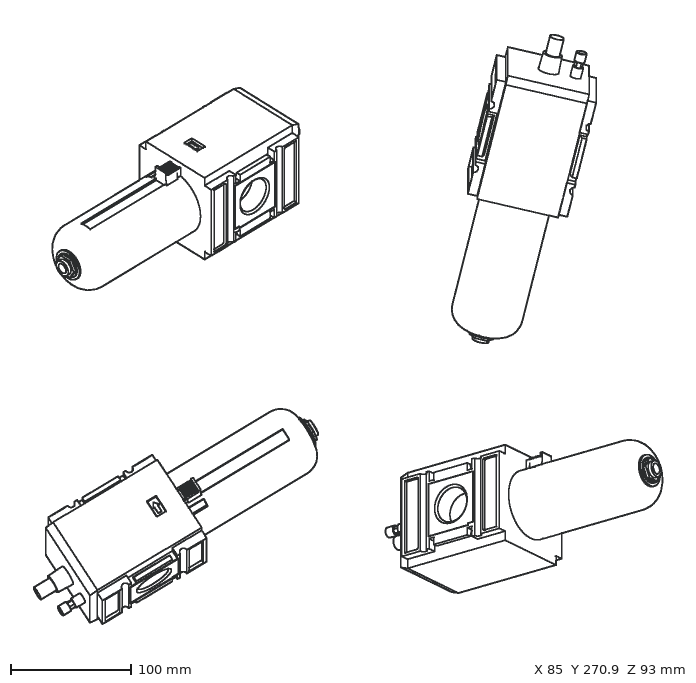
import cadquery as cq
import math


CORE_HALF_X = 34.7
CORE_HALF_Z = 42.8
CROWN_HALF_Z = 46.5
CROWN_SLOPE_LENGTH = 15.5
WING_HALF_X = 42.5
WING_HALF_Z = 34.7
HOUSING_LENGTH = 102.2
COVER_LENGTH = 7.3
COVER_END_HALF_Z = 40.0

PORT_Y = 51.2
PORT_DIAMETER = 30.4
PORT_CHAMFER = 2.0
PORT_DEPTH = 19.0
FACE_RECESS_SIZE = 47.0
FACE_RECESS_DEPTH = 0.5
FACE_STEP_LENGTH = 5.5
FACE_STEP_HEIGHT = 1.5
GROOVE_DIAMETER = 6.5
GROOVE_OFFSET = 28.5
PANEL_LENGTH = 14.0
PANEL_HALF_Z = 32.2
PANEL_DEPTH = 2.7
PANEL_OFFSET = 41.0
PANEL_CORNER_RADIUS = 1.5
NOTCH_LENGTH = 45.0
NOTCH_FLOOR_Z = 25.7
TAB_LENGTH = 35.2
TAB_TOP_Z = 32.2
TAB_TOP_THICKNESS = 4.0
TAB_BASE_THICKNESS = 6.0

ARROW_Y = 22.5
ARROW_POCKET_X = 15.7
ARROW_POCKET_Y = 9.0
ARROW_POCKET_FLOOR_Z = 43.4
ARROW_HEIGHT = 1.0
ARROW_TAIL_X = -5.5
ARROW_NECK_X = 0.8
ARROW_TIP_X = 5.0
ARROW_SHAFT_HALF = 1.5
ARROW_HEAD_HALF = 3.0

FITTING_BASE_DIAMETER = 17.3
FITTING_SHOULDER_DIAMETER = 16.0
FITTING_SHOULDER_LENGTH = 14.5
FITTING_TIP_DIAMETER = 12.0
FITTING_TIP_LENGTH = 15.2
SCREW_X = -23.0
SCREW_DIAMETER = 9.0
SCREW_BASE_LENGTH = 9.0
SCREW_NECK_FLATS = 6.2
SCREW_NECK_LENGTH = 5.0
SCREW_HEAD_LENGTH = 8.0
SCREW_HEAD_CHAMFER = 0.5

BOWL_DIAMETER = 60.0
BOWL_STRAIGHT_LENGTH = 107.3
BOWL_END_RADIUS = 16.3
SIGHT_SLOT_WIDTH = 10.8
SIGHT_SLOT_END = 104.3
SLOT_FLOOR_RADIUS = 28.0
MARK_SLOT_INNER_X = -10.5
MARK_SLOT_OUTER_X = -17.0
MARK_SLOT_WALL_ANGLE = 40.0

DRAIN_FLANGE_DIAMETER = 27.0
DRAIN_FLANGE_LENGTH = 1.5
DRAIN_COLLAR_DIAMETER = 22.0
DRAIN_COLLAR_LENGTH = 0.8
DRAIN_NUT_FLATS = 18.0
DRAIN_NUT_LENGTH = 2.5
DRAIN_TIP_DIAMETER = 14.0
DRAIN_TIP_LENGTH = 3.3
DRAIN_HOLE_DIAMETER = 9.0
DRAIN_HOLE_DEPTH = 5.7

LATCH_LENGTH = 17.0
LATCH_HALF_X = 6.2
LATCH_TOP_Z = 38.0
LATCH_ROOT_Z = 27.0
LATCH_LIP_Z = 41.2
LATCH_LIP_LENGTH = 2.2
FLARE_START = 4.0
FLARE_TOP_Z = 34.1
FLARE_BOTTOM_Z = 29.3
FLARE_HALF_X = 7.3
GRIP_COUNT = 5
GRIP_PITCH = 2.7
GRIP_FIRST = 3.5
GRIP_THICKNESS = 1.4
GRIP_WIDTH = 9.5
GRIP_HEIGHT = 1.5
LATCH_STEP_WIDTH = 9.0
LATCH_STEP_LENGTH = 3.0
LATCH_STEP_DEPTH = 0.8


def block(x_range, y_range, z_range):
    """Box between the given limits."""
    size = [high - low for low, high in (x_range, y_range, z_range)]
    corner = (x_range[0], y_range[0], z_range[0])
    return cq.Workplane("XY").box(*size, centered=False).translate(corner)


def plane_facing_back(y, x=0):
    """Plane at the given Y whose normal is +Y."""
    return cq.Workplane(cq.Plane(origin=(x, y, 0), xDir=(1, 0, 0), normal=(0, 1, 0)))


def plane_facing_front(y):
    """Plane at the given Y whose normal is -Y."""
    return cq.Workplane(cq.Plane(origin=(0, y, 0), xDir=(1, 0, 0), normal=(0, -1, 0)))


def hexagon(plane, across_flats, length):
    """Hexagonal prism with two corners on the X axis."""
    return plane.polygon(6, across_flats / math.cos(math.pi / 6)).extrude(length)




def housing_core():
    """Block with crowned top and bottom, the crowns sloped down at both ends."""
    crowned = (
        plane_facing_back(0)
        .moveTo(-CORE_HALF_X, -CORE_HALF_Z)
        .threePointArc((0, -CROWN_HALF_Z), (CORE_HALF_X, -CORE_HALF_Z))
        .lineTo(CORE_HALF_X, CORE_HALF_Z)
        .threePointArc((0, CROWN_HALF_Z), (-CORE_HALF_X, CORE_HALF_Z))
        .close()
        .extrude(HOUSING_LENGTH)
    )
    lower_half = [
        (0, -CORE_HALF_Z),
        (CROWN_SLOPE_LENGTH, -CROWN_HALF_Z),
        (HOUSING_LENGTH - CROWN_SLOPE_LENGTH, -CROWN_HALF_Z),
        (HOUSING_LENGTH, -CORE_HALF_Z),
    ]
    upper_half = [(y, -z) for y, z in reversed(lower_half)]
    side_outline = (
        cq.Workplane("YZ").polyline(lower_half + upper_half).close().extrude(CORE_HALF_X, both=True)
    )
    return crowned.intersect(side_outline)


def wings():
    """Flat mounting flanks that stand out on both sides."""
    return block(
        (-WING_HALF_X, WING_HALF_X), (0, HOUSING_LENGTH), (-WING_HALF_Z, WING_HALF_Z)
    )


def side_notch():
    """Gap at the top edge of the -X flank, leaving a tapered tab standing in it."""
    gap = block(
        (-WING_HALF_X, -CORE_HALF_X),
        (PORT_Y - NOTCH_LENGTH / 2, PORT_Y + NOTCH_LENGTH / 2),
        (NOTCH_FLOOR_Z, WING_HALF_Z),
    )
    tab_profile = [
        (-WING_HALF_X, NOTCH_FLOOR_Z),
        (TAB_BASE_THICKNESS - WING_HALF_X, NOTCH_FLOOR_Z),
        (TAB_TOP_THICKNESS - WING_HALF_X, TAB_TOP_Z),
        (-WING_HALF_X, TAB_TOP_Z),
    ]
    tab = (
        plane_facing_front(PORT_Y + TAB_LENGTH / 2).polyline(tab_profile).close().extrude(TAB_LENGTH)
    )
    return gap.cut(tab)


def side_groove(y):
    """Half-round groove along Z in the -X flank."""
    return (
        cq.Workplane("XY", origin=(-WING_HALF_X, y, 0))
        .circle(GROOVE_DIAMETER / 2)
        .extrude(WING_HALF_Z, both=True)
    )


def side_panel(direction):
    """Shallow panel in the -X flank; its two corners towards the port are rounded."""
    y = PORT_Y + direction * PANEL_OFFSET
    panel = block(
        (-WING_HALF_X, -WING_HALF_X + PANEL_DEPTH),
        (y - PANEL_LENGTH / 2, y + PANEL_LENGTH / 2),
        (-PANEL_HALF_Z, PANEL_HALF_Z),
    )
    port_side = "<Y" if direction > 0 else ">Y"
    return panel.faces(port_side).edges("|X").fillet(PANEL_CORNER_RADIUS)


def face_recess():
    """Very shallow square recess around the port, stepped in one lower corner."""
    half = FACE_RECESS_SIZE / 2
    recess = block(
        (-WING_HALF_X, -WING_HALF_X + FACE_RECESS_DEPTH),
        (PORT_Y - half, PORT_Y + half),
        (-half, half),
    )
    step = block(
        (-WING_HALF_X, -WING_HALF_X + FACE_RECESS_DEPTH),
        (PORT_Y - half, PORT_Y - half + FACE_STEP_LENGTH),
        (-half, -half + FACE_STEP_HEIGHT),
    )
    return recess.cut(step)


def port():
    """Blind port bored from the -X flank, with a chamfered mouth."""
    radius = PORT_DIAMETER / 2
    mouth_x = -WING_HALF_X + FACE_RECESS_DEPTH
    profile = [
        (mouth_x, 0),
        (mouth_x, radius + PORT_CHAMFER),
        (mouth_x + PORT_CHAMFER, radius),
        (-WING_HALF_X + PORT_DEPTH, radius),
        (-WING_HALF_X + PORT_DEPTH, 0),
    ]
    bore = cq.Workplane("XY").polyline(profile).close().revolve(360, (0, 0, 0), (1, 0, 0))
    return bore.translate((0, PORT_Y, 0))


def side_cutouts():
    """Everything removed from the -X flank."""
    notch = side_notch()
    cutouts = [notch, notch.mirror("XY"), face_recess(), port()]
    for direction in (-1, 1):
        cutouts.append(side_groove(PORT_Y + direction * GROOVE_OFFSET))
        cutouts.append(side_panel(direction))
    return cutouts


def arrow_pocket():
    """Pocket in the crowned top with a raised arrow pointing to +X."""
    pocket = block(
        (-ARROW_POCKET_X / 2, ARROW_POCKET_X / 2),
        (ARROW_Y - ARROW_POCKET_Y / 2, ARROW_Y + ARROW_POCKET_Y / 2),
        (ARROW_POCKET_FLOOR_Z, CROWN_HALF_Z),
    )
    arrow = (
        cq.Workplane("XY", origin=(0, ARROW_Y, ARROW_POCKET_FLOOR_Z))
        .moveTo(ARROW_TAIL_X, -ARROW_SHAFT_HALF)
        .lineTo(ARROW_NECK_X, -ARROW_SHAFT_HALF)
        .lineTo(ARROW_NECK_X, -ARROW_HEAD_HALF)
        .lineTo(ARROW_TIP_X, 0)
        .lineTo(ARROW_NECK_X, ARROW_HEAD_HALF)
        .lineTo(ARROW_NECK_X, ARROW_SHAFT_HALF)
        .lineTo(ARROW_TAIL_X, ARROW_SHAFT_HALF)
        .close()
        .extrude(ARROW_HEIGHT)
    )
    return pocket.cut(arrow)




def plain_bowl():
    """Round bowl with a rounded end."""
    return (
        plane_facing_front(0)
        .circle(BOWL_DIAMETER / 2)
        .extrude(BOWL_STRAIGHT_LENGTH + BOWL_END_RADIUS)
        .faces("<Y")
        .edges()
        .fillet(BOWL_END_RADIUS)
    )


def slot_core():
    """Cylinder left standing under the slots, so that their floors follow the bowl."""
    return plane_facing_front(0).circle(SLOT_FLOOR_RADIUS).extrude(BOWL_STRAIGHT_LENGTH)


def sight_slot():
    """Long slot along the top of the bowl."""
    cutter = block(
        (-SIGHT_SLOT_WIDTH / 2, SIGHT_SLOT_WIDTH / 2),
        (-SIGHT_SLOT_END, -LATCH_LENGTH),
        (0, BOWL_DIAMETER / 2),
    )
    return cutter.cut(slot_core())


def mark_slot():
    """Short slot beside the latch, with an upright inner wall and a sloping outer wall."""
    radius = BOWL_DIAMETER / 2
    rim_z = math.sqrt(radius**2 - MARK_SLOT_OUTER_X**2)
    slope = math.tan(math.radians(MARK_SLOT_WALL_ANGLE))
    overrun_x = radius - SLOT_FLOOR_RADIUS
    overrun_z = slope * overrun_x
    profile = [
        (MARK_SLOT_INNER_X, radius),
        (MARK_SLOT_INNER_X, rim_z - overrun_z),
        (MARK_SLOT_OUTER_X + overrun_x, rim_z - overrun_z),
        (MARK_SLOT_OUTER_X - overrun_x, rim_z + overrun_z),
    ]
    cutter = cq.Workplane("XZ").polyline(profile).close().extrude(LATCH_LENGTH)
    return cutter.cut(slot_core())


def drain():
    """Stepped drain: flange, collar, hexagonal nut and bored tip."""
    flange_y = -(BOWL_STRAIGHT_LENGTH + BOWL_END_RADIUS)
    collar_y = flange_y - DRAIN_FLANGE_LENGTH
    nut_y = collar_y - DRAIN_COLLAR_LENGTH
    tip_y = nut_y - DRAIN_NUT_LENGTH
    flange = (
        plane_facing_front(flange_y).circle(DRAIN_FLANGE_DIAMETER / 2).extrude(DRAIN_FLANGE_LENGTH)
    )
    collar = (
        plane_facing_front(collar_y).circle(DRAIN_COLLAR_DIAMETER / 2).extrude(DRAIN_COLLAR_LENGTH)
    )
    nut = hexagon(plane_facing_front(nut_y), DRAIN_NUT_FLATS, DRAIN_NUT_LENGTH)
    tip = plane_facing_front(tip_y).circle(DRAIN_TIP_DIAMETER / 2).extrude(DRAIN_TIP_LENGTH)
    hole = (
        plane_facing_back(tip_y - DRAIN_TIP_LENGTH)
        .circle(DRAIN_HOLE_DIAMETER / 2)
        .extrude(DRAIN_HOLE_DEPTH)
    )
    return flange.union(collar).union(nut).union(tip).cut(hole)


def latch():
    """Latch block with flared sides, grip ribs and an end lip."""
    latch_x = (-LATCH_HALF_X, LATCH_HALF_X)
    body = block(latch_x, (-LATCH_LENGTH, 0), (LATCH_ROOT_Z, LATCH_TOP_Z))
    lip = block(
        latch_x, (-LATCH_LENGTH, -LATCH_LENGTH + LATCH_LIP_LENGTH), (LATCH_TOP_Z, LATCH_LIP_Z)
    )
    flare = (
        plane_facing_back(-LATCH_LENGTH)
        .polyline(
            [
                (-LATCH_HALF_X, -FLARE_TOP_Z),
                (LATCH_HALF_X, -FLARE_TOP_Z),
                (FLARE_HALF_X, -FLARE_BOTTOM_Z),
                (FLARE_HALF_X, -LATCH_ROOT_Z),
                (-FLARE_HALF_X, -LATCH_ROOT_Z),
                (-FLARE_HALF_X, -FLARE_BOTTOM_Z),
            ]
        )
        .close()
        .extrude(LATCH_LENGTH - FLARE_START)
    )
    step = block(
        (-LATCH_STEP_WIDTH / 2, LATCH_STEP_WIDTH / 2),
        (-LATCH_STEP_LENGTH, 0),
        (LATCH_TOP_Z - LATCH_STEP_DEPTH, LATCH_TOP_Z),
    )
    shape = body.union(lip).union(flare).cut(step)
    for index in range(GRIP_COUNT):
        y = -GRIP_FIRST - index * GRIP_PITCH
        rib = block(
            (-GRIP_WIDTH / 2, GRIP_WIDTH / 2),
            (y - GRIP_THICKNESS / 2, y + GRIP_THICKNESS / 2),
            (LATCH_TOP_Z, LATCH_TOP_Z + GRIP_HEIGHT),
        )
        shape = shape.union(rib)
    return shape


def bowl_shape():
    """Bowl with its two slots, latch and drain."""
    bowl = plain_bowl().cut(sight_slot()).cut(mark_slot())
    return bowl.union(latch()).union(drain())


def make_housing():
    """Housing and bowl as one solid."""
    housing = housing_core().union(wings())
    for cutout in side_cutouts():
        housing = housing.cut(cutout).cut(cutout.mirror("YZ"))
    return housing.cut(arrow_pocket()).union(bowl_shape())




def cover_plate():
    """Plate that closes the housing; its top and bottom taper towards +Y."""
    profile = [
        (HOUSING_LENGTH, -CORE_HALF_Z),
        (HOUSING_LENGTH + COVER_LENGTH, -COVER_END_HALF_Z),
        (HOUSING_LENGTH + COVER_LENGTH, COVER_END_HALF_Z),
        (HOUSING_LENGTH, CORE_HALF_Z),
    ]
    return cq.Workplane("YZ").polyline(profile).close().extrude(CORE_HALF_X, both=True)


def cover_fitting():
    """Tapered fitting with a straight tip in the middle of the cover."""
    base_y = HOUSING_LENGTH + COVER_LENGTH
    shoulder_y = base_y + FITTING_SHOULDER_LENGTH
    tip_y = shoulder_y + FITTING_TIP_LENGTH
    profile = [
        (0, base_y),
        (FITTING_BASE_DIAMETER / 2, base_y),
        (FITTING_SHOULDER_DIAMETER / 2, shoulder_y),
        (FITTING_TIP_DIAMETER / 2, shoulder_y),
        (FITTING_TIP_DIAMETER / 2, tip_y),
        (0, tip_y),
    ]
    return cq.Workplane("XY").polyline(profile).close().revolve(360, (0, 0, 0), (0, 1, 0))


def cover_screw():
    """Small adjusting screw: round base, hexagonal neck and chamfered round head."""
    neck_y = HOUSING_LENGTH + COVER_LENGTH + SCREW_BASE_LENGTH
    head_y = neck_y + SCREW_NECK_LENGTH
    base = (
        plane_facing_back(neck_y - SCREW_BASE_LENGTH, SCREW_X)
        .circle(SCREW_DIAMETER / 2)
        .extrude(SCREW_BASE_LENGTH)
    )
    neck = hexagon(plane_facing_back(neck_y, SCREW_X), SCREW_NECK_FLATS, SCREW_NECK_LENGTH)
    head = (
        plane_facing_back(head_y, SCREW_X)
        .circle(SCREW_DIAMETER / 2)
        .extrude(SCREW_HEAD_LENGTH)
        .faces(">Y")
        .chamfer(SCREW_HEAD_CHAMFER)
    )
    return base.union(neck).union(head)


def make_cover():
    """Cover plate with its fitting and adjusting screw."""
    return cover_plate().union(cover_fitting()).union(cover_screw())


housing = make_housing()
cover = make_cover()

result = cq.Compound.makeCompound([housing.val(), cover.val()])